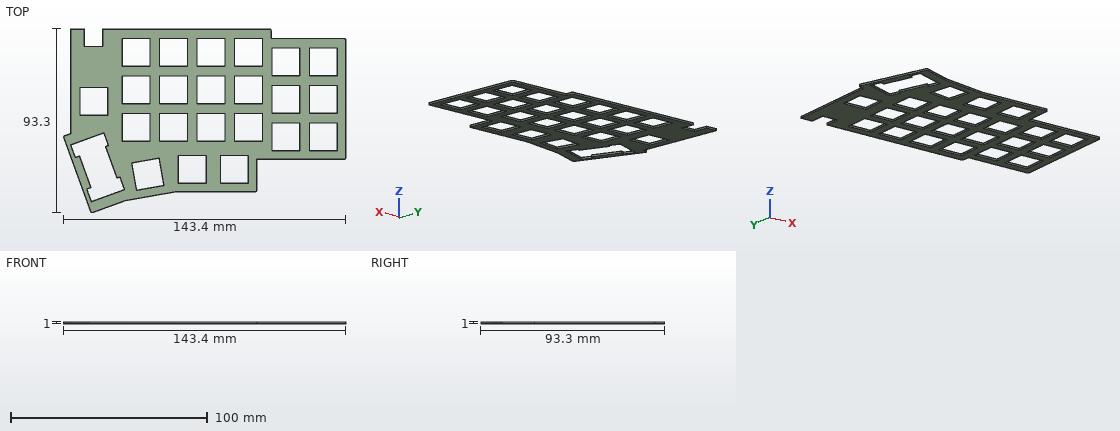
import math

import cadquery as cq

thickness = 1.0
pitch = 19.05
wide_spacing = 1.125 * pitch
opening = 14.0
half_opening = opening / 2
stagger = 4.8
rows = 3
main_columns = 4
outer_columns = 2

border = 4.4
tilted_border = 4.3
top_border = 4.9
left_border = 4.8
step_offset = 2.05
corner_radius = 0.9

side_key = (-wide_spacing, 13.2)

thumb_y = -21.33
inner_thumb_x = 1.5 * pitch
outer_thumb_x = inner_thumb_x + wide_spacing
tilted_key = (5.98, -23.8)
tilted_key_angle = 10

long_key = (-19.2, -20.15)
long_key_angle = 20
long_key_half_length = 15.3
stabiliser_start = 8.58
stabiliser_left = 9.27
stabiliser_right = 8.57
long_key_end_border = 5.5

right_rim = (main_columns + outer_columns - 1) * pitch + half_opening + border
top_rim = (rows - 1) * pitch + half_opening + top_border
outer_top_rim = top_rim - stagger
outer_bottom_rim = -stagger - half_opening - border
left_rim = side_key[0] - half_opening - left_border
step_x = (main_columns - 0.5) * pitch + step_offset
thumb_right_rim = outer_thumb_x + half_opening + border
thumb_bottom_rim = thumb_y - half_opening - border

notch_left = -26.2
notch_right = -17.0
notch_depth = 8.8


def place(centre, angle, along, across):
    """Plate position of a point given in the turned frame of a key."""
    turn = math.radians(angle)
    x = centre[0] + along * math.cos(turn) - across * math.sin(turn)
    y = centre[1] + along * math.sin(turn) + across * math.cos(turn)
    return (x, y)


def height_at(x, point, angle):
    """Y of the line through a point at an angle, taken at x."""
    return point[1] + (x - point[0]) * math.tan(math.radians(angle))


def crossing(point_a, angle_a, point_b, angle_b):
    """Point where two sloping lines meet."""
    slope_a = math.tan(math.radians(angle_a))
    slope_b = math.tan(math.radians(angle_b))
    x = (point_b[1] - point_a[1] + slope_a * point_a[0] - slope_b * point_b[0]) / (slope_a - slope_b)
    return (x, height_at(x, point_a, angle_a))


def make_plate():
    """Plate blank with its rounded outer corners."""
    long_side = -half_opening - border
    long_end = long_key_half_length + long_key_end_border
    long_top_corner = place(long_key, long_key_angle, long_side, long_end)
    long_bottom_corner = place(long_key, long_key_angle, long_side, -long_end)
    tilted_rim = place(tilted_key, tilted_key_angle, 0, -half_opening - tilted_border)
    long_bend = crossing(long_bottom_corner, long_key_angle, tilted_rim, tilted_key_angle)
    straight_bend = crossing(tilted_rim, tilted_key_angle, (0, thumb_bottom_rim), 0)

    rounded_corners = [
        (step_x, top_rim),
        (right_rim, outer_top_rim),
        (right_rim, outer_bottom_rim),
        (thumb_right_rim, thumb_bottom_rim),
        long_bottom_corner,
        long_top_corner,
    ]
    outline = [
        (left_rim, top_rim),
        (step_x, top_rim),
        (step_x, outer_top_rim),
        (right_rim, outer_top_rim),
        (right_rim, outer_bottom_rim),
        (thumb_right_rim, outer_bottom_rim),
        (thumb_right_rim, thumb_bottom_rim),
        straight_bend,
        long_bend,
        long_bottom_corner,
        long_top_corner,
        (left_rim, height_at(left_rim, long_top_corner, long_key_angle)),
    ]
    plate = cq.Workplane("XY").polyline(outline).close().extrude(thickness)
    for x, y in rounded_corners:
        corner_edge = cq.selectors.NearestToPointSelector((x, y, thickness / 2))
        plate = plate.edges("|Z").edges(corner_edge).fillet(corner_radius)
    return plate


def key_centres():
    """Centres of all upright square key openings."""
    centres = [side_key, (inner_thumb_x, thumb_y), (outer_thumb_x, thumb_y)]
    for column in range(main_columns + outer_columns):
        drop = stagger if column >= main_columns else 0
        for row in range(rows):
            centres.append((column * pitch, row * pitch - drop))
    return centres


def make_square_cutters():
    """Square key openings, with the turned thumb key."""
    upright = cq.Workplane("XY").pushPoints(key_centres()).rect(opening, opening).extrude(thickness)
    tilted = (
        cq.Workplane("XY")
        .rect(opening, opening)
        .extrude(thickness)
        .rotate((0, 0, 0), (0, 0, 1), tilted_key_angle)
        .translate((*tilted_key, 0))
    )
    return upright.union(tilted)


def make_long_key_cutter():
    """Opening of the long thumb key: a slot that widens into a pocket at both ends."""
    cutter = cq.Workplane("XY").rect(opening, 2 * long_key_half_length).extrude(thickness)
    pocket_width = stabiliser_left + stabiliser_right
    pocket_length = long_key_half_length - stabiliser_start
    pocket_x = (stabiliser_right - stabiliser_left) / 2
    pocket_y = (long_key_half_length + stabiliser_start) / 2
    for side in (-1, 1):
        pocket = (
            cq.Workplane("XY")
            .center(pocket_x, side * pocket_y)
            .rect(pocket_width, pocket_length)
            .extrude(thickness)
        )
        cutter = cutter.union(pocket)
    return cutter.rotate((0, 0, 0), (0, 0, 1), long_key_angle).translate((*long_key, 0))


def make_notch_cutter():
    """Rectangular notch open to the top rim."""
    return (
        cq.Workplane("XY")
        .center((notch_left + notch_right) / 2, top_rim - notch_depth / 2)
        .rect(notch_right - notch_left, notch_depth)
        .extrude(thickness)
    )


result = (
    make_plate()
    .cut(make_square_cutters())
    .cut(make_long_key_cutter())
    .cut(make_notch_cutter())
)